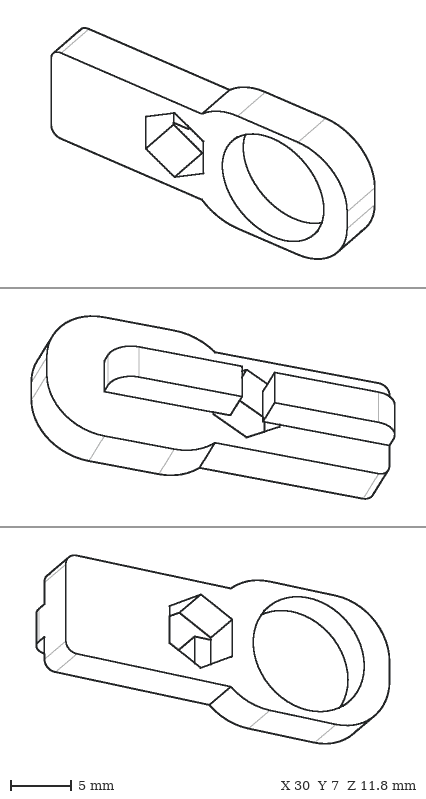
import cadquery as cq
import math

length = 30.0
plate_thickness = 4.0
handle_height = 9.0
handle_corner_radius = 1.0

head_height = 11.8
head_end_radius = 5.0
head_flat_start = 18.87
head_shoulder_radius = 5.3

pocket_x = 22.5
pocket_diameter = 10.3
pocket_depth = 3.0

hex_x = 12.5
hex_across_flats = 5.82

rail_length = 25.0
rail_height = 3.0
rail_depth = 3.0
rail_corner_radius = 2.0
rail_gap = 2.85


def front_plane():
    """XZ workplane on the front face; negative extrusion runs toward +Y."""
    return cq.Workplane("XZ")


def make_handle():
    return (
        front_plane()
        .center(head_flat_start / 2, 0)
        .rect(head_flat_start, handle_height)
        .extrude(-plate_thickness)
        .edges("|Y and <X")
        .fillet(handle_corner_radius)
    )


def make_head():
    half_head = head_height / 2
    half_handle = handle_height / 2
    arc_center_z = half_head - head_shoulder_radius
    shoulder_x = head_flat_start - math.sqrt(head_shoulder_radius**2 - (half_handle - arc_center_z) ** 2)
    end_x = length - head_end_radius
    end_z = half_head - head_end_radius
    return (
        front_plane()
        .moveTo(head_flat_start, half_head)
        .lineTo(end_x, half_head)
        .radiusArc((length, end_z), head_end_radius)
        .lineTo(length, -end_z)
        .radiusArc((end_x, -half_head), head_end_radius)
        .lineTo(head_flat_start, -half_head)
        .radiusArc((shoulder_x, -half_handle), head_shoulder_radius)
        .lineTo(shoulder_x, half_handle)
        .radiusArc((head_flat_start, half_head), head_shoulder_radius)
        .close()
        .extrude(-plate_thickness)
    )


def make_rail():
    rail = (
        cq.Workplane("XY")
        .box(rail_length, rail_depth, rail_height, centered=(False, False, True))
        .edges("|Z and >Y")
        .fillet(rail_corner_radius)
    )
    gap = cq.Workplane("XY").center(hex_x, 0).box(rail_gap, rail_depth, rail_height, centered=(True, False, True))
    return rail.cut(gap).translate((0, plate_thickness, 0))


def make_pocket():
    return front_plane().center(pocket_x, 0).circle(pocket_diameter / 2).extrude(-pocket_depth)


def make_hexagon():
    across_corners = hex_across_flats / math.cos(math.radians(30))
    return (
        front_plane()
        .center(hex_x, 0)
        .transformed(rotate=(0, 0, 90))
        .polygon(6, across_corners)
        .extrude(-plate_thickness)
    )


plate = make_handle().union(make_head()).cut(make_pocket()).cut(make_hexagon())
result = plate.union(make_rail())